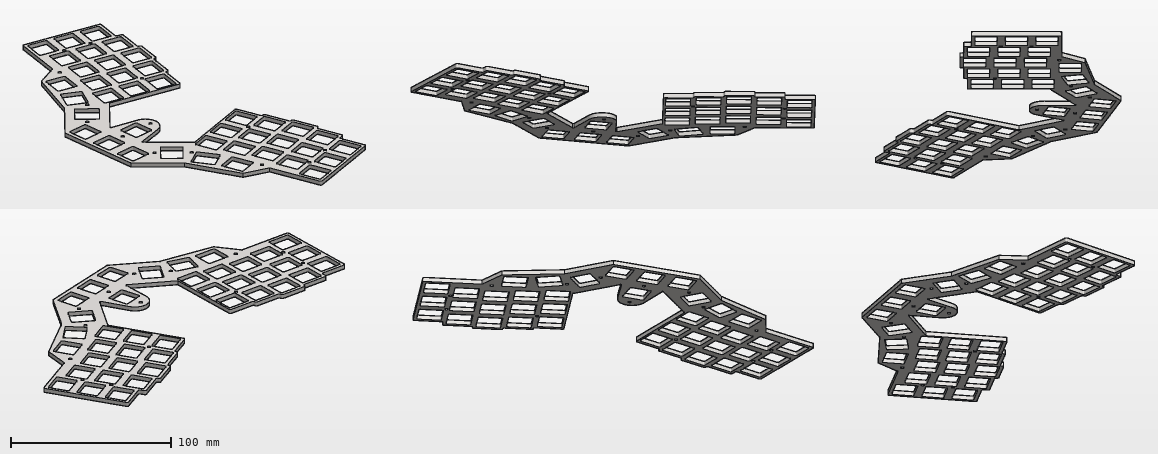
import cadquery as cq
import math

LENGTH = 261.5
WIDTH = 120.0
THICKNESS = 3.0

OPENING_WIDTH = 15.5
OPENING_DEPTH = 13.9
CENTRE_OPENING = 14.0
OPENING_CORNER = 0.8

GRID_TILT = 15.0
GRID_WIDTH = 95.0
COLUMN_LENGTH = 56.5
KEYS_PER_COLUMN = 3
STAGGER_STEPS = (0, 2, 3, 2, 1)
KEY_PITCH = GRID_WIDTH / len(STAGGER_STEPS)
STAGGER = KEY_PITCH / 8
GRID_CORNER = 1.0
OPENING_SHIFT = 0.3

COS_TILT = math.cos(math.radians(GRID_TILT))
SIN_TILT = math.sin(math.radians(GRID_TILT))
CORNER_GAP = GRID_CORNER * (COS_TILT + SIN_TILT - 1)
GRID_LEFT = -LENGTH / 2 - CORNER_GAP
GRID_BOTTOM = WIDTH + CORNER_GAP - COLUMN_LENGTH * COS_TILT

THUMB_KEYS = (
    (-77.2, 45.8, GRID_TILT),
    (-57.5, 37.5, 30.0),
    (-37.1, 28.0, -45.0),
)

CENTRE_ROW_PITCH = 21.0
CENTRE_ROW_Y = 10.0
TAB_KEY_Y = 34.0
CENTRE_KEYS = (
    (-CENTRE_ROW_PITCH, CENTRE_ROW_Y),
    (0, CENTRE_ROW_Y),
    (CENTRE_ROW_PITCH, CENTRE_ROW_Y),
    (0, TAB_KEY_Y),
)

BASE_HALF_WIDTH = 29.0
KNEE = (-52.5, 23.5)
ELBOW = (-88.5, 39.2)
SHOULDER_ALONG_GRID = 37.1
NECK_UP_GRID = 7.3
NOTCH_Y = 25.5
NOTCH_OUTER_X = -14.5
NOTCH_INNER_X = -13.5

TAB_TOP = 51.3
TAB_RADIUS = 9.2
TAB_SIDE_TILT = 15.0

HOLE_DIAMETER = 2.0
CENTRE_HOLES = ((0, 22.0), (0, 46.5))
LEFT_HOLES = (
    (-102.8, 97.5),
    (-46.5, 86.3),
    (-107.5, 79.0),
    (-88.7, 56.0),
    (-45.8, 37.0),
    (-29.5, 20.5),
)


def grid_point(along, up):
    """Place a point of the tilted grid on the plate."""
    return (
        GRID_LEFT + along * COS_TILT + up * SIN_TILT,
        GRID_BOTTOM - along * SIN_TILT + up * COS_TILT,
    )


def column_middle(column):
    """Grid position (along, up) of the middle of one key column."""
    along = (column + 0.5) * KEY_PITCH
    up = COLUMN_LENGTH / 2 + STAGGER_STEPS[column] * STAGGER
    return along, up


def tab_arc_point(angle):
    """Point on the left of the tab's round end, at an angle above horizontal."""
    radians = math.radians(angle)
    centre_y = TAB_TOP - TAB_RADIUS
    return (-TAB_RADIUS * math.cos(radians), centre_y + TAB_RADIUS * math.sin(radians))


def block(width, depth, centre, turn, corner=0.0):
    """Plate-thick rectangle, turned clockwise about its centre, with optional round corners."""
    shape = cq.Workplane("XY").rect(width, depth).extrude(THICKNESS)
    if corner > 0:
        shape = shape.edges("|Z").fillet(corner)
    return (
        shape
        .rotate((0, 0, 0), (0, 0, 1), -turn)
        .translate((*centre, 0))
    )


def lower_body():
    """Left half of the body that joins the grid, the thumb keys and the tab."""
    return (
        cq.Workplane("XY")
        .moveTo(0, 0)
        .lineTo(-BASE_HALF_WIDTH, 0)
        .lineTo(*KNEE)
        .lineTo(*ELBOW)
        .lineTo(*grid_point(SHOULDER_ALONG_GRID, 0))
        .lineTo(*grid_point(KEY_PITCH / 2, 0))
        .lineTo(*grid_point(KEY_PITCH / 2, KEY_PITCH))
        .lineTo(*grid_point(GRID_WIDTH, KEY_PITCH))
        .lineTo(*grid_point(GRID_WIDTH, NECK_UP_GRID))
        .lineTo(NOTCH_OUTER_X, NOTCH_Y)
        .lineTo(NOTCH_INNER_X, NOTCH_Y)
        .lineTo(*tab_arc_point(TAB_SIDE_TILT))
        .threePointArc(tab_arc_point((TAB_SIDE_TILT + 90) / 2), (0, TAB_TOP))
        .close()
        .extrude(THICKNESS)
    )


def key_columns():
    """Solid staggered columns, with the corners of their joint outline rounded."""
    columns = cq.Workplane("XY")
    for column in range(len(STAGGER_STEPS)):
        centre = grid_point(*column_middle(column))
        columns = columns.union(block(KEY_PITCH, COLUMN_LENGTH, centre, GRID_TILT))
    return columns.edges("|Z").fillet(GRID_CORNER)


def key_opening(centre, turn):
    return block(OPENING_WIDTH, OPENING_DEPTH, centre, turn, OPENING_CORNER)


def screw_holes(places):
    return cq.Workplane("XY").pushPoints(places).circle(HOLE_DIAMETER / 2).extrude(THICKNESS)


def left_half():
    """Left hand with its key openings and screw holes."""
    body = lower_body().union(key_columns())
    for column in range(len(STAGGER_STEPS)):
        along, middle = column_middle(column)
        for row in range(KEYS_PER_COLUMN):
            up = middle + (row - (KEYS_PER_COLUMN - 1) / 2) * KEY_PITCH
            body = body.cut(key_opening(grid_point(along + OPENING_SHIFT, up), GRID_TILT))
    for x, y, turn in THUMB_KEYS:
        body = body.cut(key_opening((x, y), turn))
    return body.cut(screw_holes(LEFT_HOLES))


left = left_half()
plate = left.union(left.mirror("YZ"))
for place in CENTRE_KEYS:
    plate = plate.cut(block(CENTRE_OPENING, CENTRE_OPENING, place, 0, OPENING_CORNER))

result = plate.cut(screw_holes(CENTRE_HOLES))